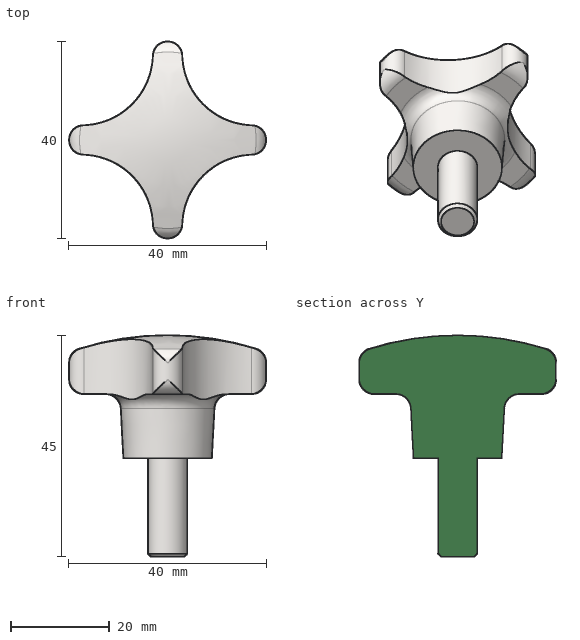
import cadquery as cq
import math


stud_radius = 4.0
stud_length = 20.0
stud_chamfer = 0.65

hub_bottom_radius = 9.0
hub_taper = math.radians(3.0)
cove_radius = 3.0

head_radius = 20.0
head_bottom = 13.0
head_top = 25.0
dome_radius = 60.0
rim_radius = 3.0
arm_count = 4
arm_width = 6.0

tip_radius = arm_width / 2
tip_offset = head_radius - tip_radius
scallop_radius = 14.5


def polar(center, radius, angle):
    """Point at the given angle on a circle."""
    return (center[0] + radius * math.cos(angle), center[1] + radius * math.sin(angle))


def turned(point, angle):
    """Point rotated about the Z axis."""
    return polar((0, 0), math.hypot(*point), math.atan2(point[1], point[0]) + angle)


def make_stud():
    stud = cq.Workplane("XY").circle(stud_radius).extrude(-stud_length)
    return stud.faces("<Z").chamfer(stud_chamfer)


def make_turned_body():
    """Hub and domed head as one revolved profile, drawn as (radius, height)."""
    cove_height = head_bottom - cove_radius
    cove_offset = (
        hub_bottom_radius + cove_height * math.tan(hub_taper) + cove_radius / math.cos(hub_taper)
    )
    cove_center = (cove_offset, cove_height)
    cove_start_angle = math.pi - hub_taper
    cove_end_angle = math.pi / 2
    cove_mid_angle = (cove_start_angle + cove_end_angle) / 2

    rim_offset = head_radius - rim_radius
    dome_center = (0, head_top - dome_radius)
    rim_to_dome_center = dome_radius - rim_radius
    dome_rim_angle = math.acos(rim_offset / rim_to_dome_center)
    upper_rim_center = polar(dome_center, rim_to_dome_center, dome_rim_angle)
    lower_rim_center = (rim_offset, head_bottom + rim_radius)

    profile = (
        cq.Workplane("XZ")
        .moveTo(0, 0)
        .lineTo(hub_bottom_radius, 0)
        .lineTo(*polar(cove_center, cove_radius, cove_start_angle))
        .threePointArc(
            polar(cove_center, cove_radius, cove_mid_angle),
            (cove_offset, head_bottom),
        )
        .lineTo(rim_offset, head_bottom)
        .threePointArc(
            polar(lower_rim_center, rim_radius, -math.pi / 4),
            (head_radius, lower_rim_center[1]),
        )
        .lineTo(head_radius, upper_rim_center[1])
        .threePointArc(
            polar(upper_rim_center, rim_radius, dome_rim_angle / 2),
            polar(dome_center, dome_radius, dome_rim_angle),
        )
        .threePointArc(
            polar(dome_center, dome_radius, (dome_rim_angle + math.pi / 2) / 2),
            (0, head_top),
        )
        .close()
    )
    return profile.revolve(360, (0, 0, 0), (0, 1, 0))


def make_star_prism():
    """Four-armed outline with rounded tips and circular scallops, over the full height."""
    arm_start = (tip_offset, -tip_radius)
    tip = (head_radius, 0)
    arm_end = (tip_offset, tip_radius)
    half_chord = (tip_offset - tip_radius) / math.sqrt(2)
    chord_distance = (tip_offset + tip_radius) / math.sqrt(2)
    scallop_distance = chord_distance + math.sqrt(scallop_radius**2 - half_chord**2)
    scallop_middle_radius = scallop_distance - scallop_radius
    scallop_middle = polar((0, 0), scallop_middle_radius, math.pi / 4)
    scallop_end = (tip_radius, tip_offset)

    outline = cq.Workplane("XY").moveTo(*arm_start)
    for arm in range(arm_count):
        turn = arm * 2 * math.pi / arm_count
        outline = outline.threePointArc(turned(tip, turn), turned(arm_end, turn))
        outline = outline.threePointArc(turned(scallop_middle, turn), turned(scallop_end, turn))
    return outline.close().extrude(head_top)


result = make_turned_body().intersect(make_star_prism()).union(make_stud())